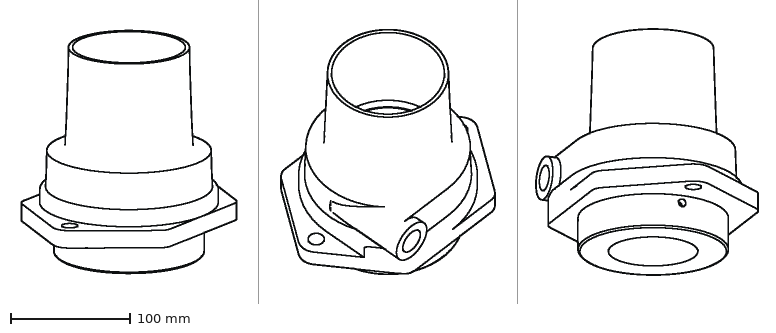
import cadquery as cq
import math

flange_bottom = 29.5
flange_top = 44.7
collar_top = 58.2
chamber_roof = 77.9
shoulder_edge = 89.7
shoulder_inner = 92.2
pipe_bottom = 94.5
pipe_top = 179.7
nozzle_lip = 88.1

collar_radius = 75.0
collar_round = 2.9
body_bottom_radius = 70.0
body_top_radius = 69.0
pipe_bottom_radius = 53.7
pipe_top_radius = 50.8
pipe_wall = 3.5
chamber_radius = 57.4

flange_half_length = 102.5
flange_hole_y = 87.3
flange_hole_radius = 6.8
flange_side_round = 12.3
flange_edge_angle = math.radians(35.3)
flange_nose_round = flange_half_length - flange_hole_y
flange_apex_y = flange_hole_y + flange_nose_round / math.cos(flange_edge_angle)
flange_corner_y = flange_apex_y - collar_radius * math.tan(flange_edge_angle)

port_face_x = -77.0
port_y = 52.2
port_radius = 18.5
port_z = shoulder_edge - port_radius
port_mouth_radius = 10.7
port_end_radius = 9.5
taper_start_x = -61.5
slot_width = 9.2
slot_offset_y = -0.8

spigot_radius = 63.1
spigot_chamfer = 1.6
throat_radius = 37.5
nozzle_lip_bore_radius = 47.5
nozzle_lip_radius = 48.5
nozzle_root_radius = 45.5
drill_radius = 3.3
drill_depth = 8.2
drill_z = 23.2
drill_tip_depth = drill_radius / math.tan(math.radians(59))


def flange_prism(bottom, top):
    """Solid of the flange outline between two heights."""
    outline = [
        (collar_radius, -flange_corner_y),
        (collar_radius, flange_corner_y),
        (0, flange_apex_y),
        (-collar_radius, flange_corner_y),
        (-collar_radius, -flange_corner_y),
        (0, -flange_apex_y),
    ]
    prism = cq.Workplane("XY", origin=(0, 0, bottom)).polyline(outline).close().extrude(top - bottom)
    prism = prism.edges("|Z and (>Y or <Y)").fillet(flange_nose_round)
    side_edges = prism.edges("|Z").filter(lambda edge: abs(edge.Center().x) > collar_radius - 0.2)
    return side_edges.fillet(flange_side_round)


def make_collar():
    """Round collar, squared off in the -X +Y corner and trimmed to the flange outline."""
    height = collar_top - flange_bottom
    collar = (
        cq.Workplane("XY", origin=(0, 0, flange_bottom))
        .moveTo(-collar_radius, 0)
        .lineTo(-collar_radius, collar_radius)
        .lineTo(0, collar_radius)
        .threePointArc((collar_radius * math.sqrt(0.5), -collar_radius * math.sqrt(0.5)), (-collar_radius, 0))
        .close()
        .extrude(height)
        .faces(">Z")
        .edges()
        .fillet(collar_round)
    )
    return collar.intersect(flange_prism(flange_bottom, collar_top))


def make_body_and_pipe():
    """Drafted body, sloping shoulder and drafted pipe, as one turned shape."""
    neck_round = pipe_bottom - shoulder_inner
    neck_radius = pipe_bottom_radius + neck_round
    neck_bulge = neck_round * (1 - math.sqrt(0.5))
    return (
        cq.Workplane("XZ")
        .moveTo(0, flange_bottom)
        .lineTo(body_bottom_radius, flange_bottom)
        .lineTo(body_bottom_radius, collar_top)
        .lineTo(body_top_radius, shoulder_edge)
        .lineTo(neck_radius, shoulder_inner)
        .threePointArc(
            (pipe_bottom_radius + neck_bulge, shoulder_inner + neck_bulge),
            (pipe_bottom_radius, pipe_bottom),
        )
        .lineTo(pipe_top_radius, pipe_top)
        .lineTo(0, pipe_top)
        .close()
        .revolve(360, (0, 0, 0), (0, 1, 0))
    )


def make_inlet_boss():
    """Drafted block beside the body, carrying the round port."""
    block = (
        cq.Workplane("XZ")
        .polyline([
            (0, flange_top),
            (-body_bottom_radius, flange_top),
            (-body_bottom_radius, collar_top),
            (-body_top_radius, shoulder_edge),
            (0, shoulder_edge),
        ])
        .close()
        .extrude(-port_y)
    )
    port = cq.Workplane("YZ", origin=(port_face_x, port_y, port_z)).circle(port_radius).extrude(-port_face_x)
    return block.union(port)


def make_inlet_passage():
    """Tapered round bore whose sides close in to an upright slot at the chamber."""
    length = -port_face_x
    bore = (
        cq.Workplane("YZ", origin=(port_face_x, port_y, port_z))
        .circle(port_mouth_radius)
        .workplane(offset=length)
        .circle(port_end_radius)
        .loft()
    )
    slot_y = port_y + slot_offset_y
    wedge = (
        cq.Workplane("XY")
        .polyline([
            (port_face_x, port_y - port_mouth_radius),
            (taper_start_x, port_y - port_mouth_radius),
            (0, slot_y - slot_width / 2),
            (0, slot_y + slot_width / 2),
            (taper_start_x, port_y + port_mouth_radius),
            (port_face_x, port_y + port_mouth_radius),
        ])
        .close()
        .extrude(shoulder_edge)
    )
    return bore.intersect(wedge)


def make_housing_cavity():
    """Insert seat, swirl chamber, sloping roof and pipe bore, as one turned shape."""
    return (
        cq.Workplane("XZ")
        .moveTo(0, flange_bottom)
        .lineTo(spigot_radius, flange_bottom)
        .lineTo(spigot_radius, flange_top)
        .lineTo(chamber_radius, flange_top)
        .lineTo(chamber_radius, chamber_roof)
        .lineTo(pipe_bottom_radius - pipe_wall, pipe_bottom)
        .lineTo(pipe_top_radius - pipe_wall, pipe_top)
        .lineTo(0, pipe_top)
        .close()
        .revolve(360, (0, 0, 0), (0, 1, 0))
    )


def make_housing():
    flange_holes = (
        cq.Workplane("XY", origin=(0, 0, flange_bottom))
        .pushPoints([(0, flange_hole_y), (0, -flange_hole_y)])
        .circle(flange_hole_radius)
        .extrude(flange_top - flange_bottom)
    )
    return (
        flange_prism(flange_bottom, flange_top)
        .union(make_collar())
        .union(make_body_and_pipe())
        .union(make_inlet_boss())
        .cut(make_housing_cavity())
        .cut(make_inlet_passage())
        .cut(flange_holes)
    )


def make_insert():
    """Spigot and conical nozzle, with a blind drilled hole in the -Y side."""
    insert = (
        cq.Workplane("XZ")
        .moveTo(throat_radius, 0)
        .lineTo(spigot_radius - spigot_chamfer, 0)
        .lineTo(spigot_radius, spigot_chamfer)
        .lineTo(spigot_radius, flange_top)
        .lineTo(nozzle_root_radius, flange_top)
        .lineTo(nozzle_lip_radius, nozzle_lip)
        .lineTo(nozzle_lip_bore_radius, nozzle_lip)
        .close()
        .revolve(360, (0, 0, 0), (0, 1, 0))
    )
    drill = (
        cq.Workplane("XY", origin=(0, -spigot_radius, drill_z))
        .polyline([(0, 0), (drill_radius, 0), (drill_radius, drill_depth), (0, drill_depth + drill_tip_depth)])
        .close()
        .revolve(360, (0, 0, 0), (0, 1, 0))
    )
    return insert.cut(drill)


housing = make_housing()
insert = make_insert()

result = cq.Compound.makeCompound([housing.val(), insert.val()])